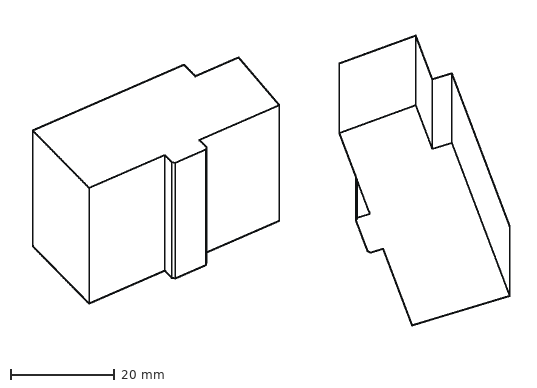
import cadquery as cq

length = 45.0
height = 30.0
body_width = 20.0

step_width = 4.0
step_start = 35.0

end_slope_drop = 1.0

tab_depth = 3.0
tab_start = 17.5
tab_width = 8.0
tab_chamfer = 0.5


def make_body():
    """Stepped block with a sloping end face."""
    outline = [
        (0, 0),
        (body_width, 0),
        (body_width, length - end_slope_drop),
        (step_width, length),
        (step_width, step_start),
        (0, step_start),
    ]
    return cq.Workplane("XY").polyline(outline).close().extrude(height)


def make_tab():
    """Rectangular rail with its two outer upright edges chamfered."""
    return (
        cq.Workplane("XY")
        .box(tab_depth, tab_width, height, centered=False)
        .edges("|Z and >X")
        .chamfer(tab_chamfer)
        .translate((body_width, tab_start, 0))
    )


result = make_body().union(make_tab())